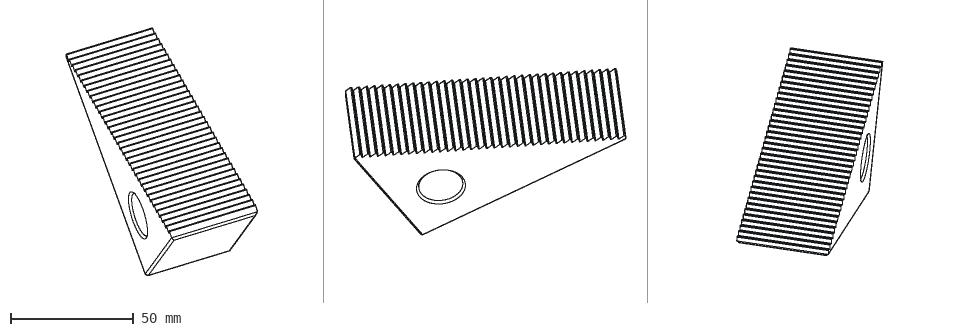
import cadquery as cq
import math

LENGTH = 111.1
WIDTH = 38.0
HEIGHT = 50.7
BASE_ANGLE = 30.0

TOOTH_COUNT = 35
TOOTH_PITCH = LENGTH / TOOTH_COUNT
TOOTH_DEPTH = 1.8
STEEP_RUN = 0.47
CREST_FLAT = 0.5
SLANT_RUN = 2.0

LEFT_TIP_SETBACK = 0.7
CORNER_CHAMFER = 1.0
SIDE_CHAMFER = 1.0

HOLE_DIAMETER = 18.0
HOLE_X = 75.7
HOLE_Z = -22.5
RIM_CHAMFER = 1.0

ANGLE = math.radians(BASE_ANGLE)
CORNER_Z = -HEIGHT - CORNER_CHAMFER * math.sin(ANGLE)
CORNER_RUN = (LENGTH - LEFT_TIP_SETBACK) * math.cos(ANGLE) ** 2
CORNER_X = LEFT_TIP_SETBACK + CORNER_RUN

TIP_Z = CORNER_Z + CORNER_RUN * math.tan(ANGLE)


def serrated_outline():
    """Tooth profile from left to right, closed below through the sharp lower corner."""
    points = []
    for i in range(TOOTH_COUNT):
        root = i * TOOTH_PITCH
        crest_start = root + STEEP_RUN
        crest_end = crest_start + CREST_FLAT
        points += [
            (root, -TOOTH_DEPTH),
            (crest_start, 0),
            (crest_end, 0),
            (crest_end + SLANT_RUN, -TOOTH_DEPTH),
        ]
    return points + [(LENGTH, TIP_Z), (CORNER_X, CORNER_Z), (LEFT_TIP_SETBACK, TIP_Z)]


def serrated_prism():
    """Wedge with teeth, its lower edges still sharp."""
    outline = cq.Workplane("XZ").polyline(serrated_outline()).close()
    return outline.extrude(WIDTH / 2, both=True)


def chamfered_block():
    """Large box tilted onto its lowest edge; its chamfered faces bound the two lower sides."""
    block = cq.Workplane("XY").box(LENGTH, WIDTH, LENGTH, centered=(False, True, False))
    block = block.translate((-LENGTH, 0, 0))
    block = block.faces("<Z or >X").edges("<Y or >Y").chamfer(SIDE_CHAMFER)
    block = block.edges("|Y and >X and <Z").chamfer(CORNER_CHAMFER)
    tilted = block.rotate((0, 0, 0), (0, 1, 0), BASE_ANGLE)
    return tilted.translate((CORNER_X, 0, CORNER_Z))


def hole_cutter():
    """Through hole with a chamfered rim on both side faces."""
    radius = HOLE_DIAMETER / 2
    bore = cq.Workplane("XZ").center(HOLE_X, HOLE_Z).circle(radius).extrude(WIDTH / 2, both=True)
    rim = (
        cq.Workplane("XZ", origin=(0, -WIDTH / 2, 0))
        .center(HOLE_X, HOLE_Z)
        .circle(radius + RIM_CHAMFER)
        .extrude(-RIM_CHAMFER, taper=45)
    )
    return bore.union(rim).union(rim.mirror("XZ"))


result = serrated_prism().intersect(chamfered_block()).cut(hole_cutter())